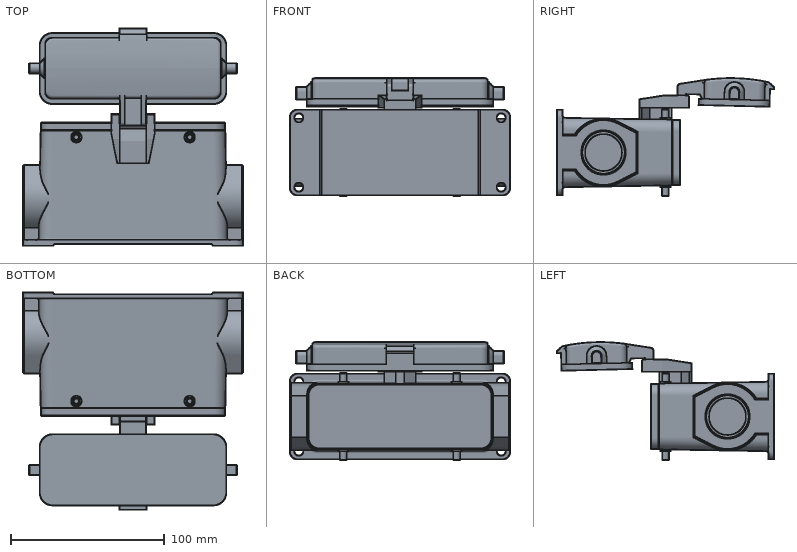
import cadquery as cq
import math


plate_width = 144.0
plate_height = 56.0
plate_thickness = 3.9
plate_corner_radius = 5.0
screw_hole_radius = 2.9
screw_hole_x = 66.1
screw_hole_z = 22.6
relief_depth = 1.2
relief_half_width = 52.4

box_half_width = 61.6
box_half_height = 22.8
box_corner_radius = 7.9
box_end_y = 75.2
box_length = box_end_y - plate_thickness
box_draft = 1.0
box_root_fillet = 1.2

entry_face_x = plate_width / 2
entry_axis_y = 30.5
entry_radius = 22.2
entry_front_y = 53.0
entry_neck_half_height = 12.0
entry_inner_x = 46.1
entry_chamfer = 1.0
bore_radius = 13.8
bore_depth = 14.4
bore_chamfer = 0.7
inner_bore_radius = 12.1
inner_bore_depth = 28.8

peg_x = 37.0
peg_y = 71.0
peg_radius = 2.3
peg_tip_z = 28.7
peg_tip_chamfer = 0.6
peg_collar_radius = 3.5
peg_collar_z = 22.8
peg_root_z = 18.7

rim_end_y = 80.8
rim_half_width = 60.2
rim_half_height = 21.3
rim_corner_radius = 7.0
rim_chamfer = 0.6

rail_outer_x = 14.1
rail_inner_x = 8.8
rail_end_y = 86.4
rail_bend_y = 73.2
rail_top_z = 37.3
rail_bottom_z = 29.1
rail_slope_y = 69.8
rail_end_chamfer = 0.7
wall_y = 54.0
wall_thickness = 1.5
wall_half_width = 10.4
wall_top_z = 34.8
floor_z = 34.0
floor_bend_y = 68.7
floor_end_y = 76.5
floor_end_z = 32.3
hub_half_width = 2.9
hub_flare_y = 60.8
foot_z = 20.2

cover_tilt = 1.4
cover_y = 115.9
flange_half_width = 61.0
flange_depth = 46.5
flange_bottom_z = 30.4
flange_top_z = 34.5
flange_corner_radius = 8.6
cap_half_width = 57.5
cap_front_y = 96.2
cap_back_y = 135.8
cap_corner_radius = 4.6
cap_edge_z = 47.0
cap_crown_z = 48.7
cap_edge_fillet = 2.0

pin_end_x = 68.0
pin_radius = 3.3
pin_axis_z = 39.6
pin_end_chamfer = 0.5
pin_boss_radius = 6.5

tab_half_width = 9.0
tab_tip_y = 141.8
tab_base_y = cover_y + flange_depth / 2
tab_shoulder_y = 138.1
tab_bottom_z = 41.9
tab_tip_z = 43.2
arm_half_width = 8.5
arm_end_y = 78.6
arm_top_z = 43.8
arm_bottom_z = 37.3
arm_end_radius = 2.2
arm_root_y = 94.8
arm_leg_y = 84.2
arm_leg_bottom_z = 31.7
arm_toe_z = 33.1
arm_toe_y = 76.8
arm_pocket_half_width = 5.5
arm_pocket_z = 39.7
joint_fillet = 1.0


def rounded_slab(half_width, half_height, radius, start_y, length):
    """Rounded rectangle in XZ, extruded toward +Y from start_y."""
    return (
        cq.Workplane("XZ", origin=(0, start_y, 0))
        .sketch()
        .rect(2 * half_width, 2 * half_height)
        .vertices()
        .fillet(radius)
        .finalize()
        .extrude(-length)
    )


def across(profile, half_width):
    """Extrude a YZ profile equally to both sides of X = 0."""
    return profile.extrude(half_width, both=True)


def profile_yz(points):
    return cq.Workplane("YZ").polyline(points).close()


def mounting_plate():
    plate = rounded_slab(plate_width / 2, plate_height / 2, plate_corner_radius, 0, plate_thickness)
    relief = (
        cq.Workplane("XY")
        .polyline([
            (-relief_half_width, 0),
            (relief_half_width, 0),
            (relief_half_width - relief_depth, relief_depth),
            (relief_depth - relief_half_width, relief_depth),
        ])
        .close()
        .extrude(plate_height, both=True)
    )
    return plate.cut(relief)


def screw_holes():
    return (
        cq.Workplane("XZ")
        .rect(2 * screw_hole_x, 2 * screw_hole_z, forConstruction=True)
        .vertices()
        .circle(screw_hole_radius)
        .extrude(-plate_thickness)
    )


def tapered_box():
    box = (
        cq.Workplane("XZ", origin=(0, plate_thickness, 0))
        .rect(2 * box_half_width, 2 * box_half_height)
        .extrude(-box_length, taper=box_draft)
    )
    return box.edges("not #Y").fillet(box_corner_radius)


def entry_boss():
    """Boss on the +X end: a round blended by tangents into a narrower flat front, with a neck."""
    front_reach = entry_front_y - entry_axis_y
    tangent_angle = math.radians(27)
    tangent_y = entry_radius * math.sin(tangent_angle)
    tangent_z = entry_radius * math.cos(tangent_angle)
    corner_z = tangent_z - (front_reach - tangent_y) * math.tan(tangent_angle)
    neck_reach = math.sqrt(entry_radius**2 - entry_neck_half_height**2)
    outline = (
        cq.Workplane("YZ", origin=(entry_inner_x, entry_axis_y, 0))
        .moveTo(front_reach, -corner_z)
        .lineTo(front_reach, corner_z)
        .lineTo(tangent_y, tangent_z)
        .threePointArc((0, entry_radius), (-neck_reach, entry_neck_half_height))
        .lineTo(relief_depth - entry_axis_y, entry_neck_half_height)
        .lineTo(relief_depth - entry_axis_y, -entry_neck_half_height)
        .lineTo(-neck_reach, -entry_neck_half_height)
        .threePointArc((0, -entry_radius), (tangent_y, -tangent_z))
        .close()
    )
    return outline.extrude(entry_face_x - entry_inner_x).faces(">X").chamfer(entry_chamfer)


def entry_bore():
    """Stepped blind bore of the +X end, with a chamfered mouth."""
    return (
        cq.Workplane("XY", origin=(entry_face_x, entry_axis_y, 0))
        .polyline([
            (0, 0),
            (0, bore_radius + bore_chamfer),
            (-bore_chamfer, bore_radius),
            (-bore_depth, bore_radius),
            (-bore_depth, inner_bore_radius),
            (-inner_bore_depth, inner_bore_radius),
            (-inner_bore_depth, 0),
        ])
        .close()
        .revolve(360, (0, 0, 0), (1, 0, 0))
    )


def locking_peg(x, side):
    """Collared peg standing on the top (side = 1) or bottom (side = -1) of the box."""
    base = cq.Workplane("XY", origin=(x, peg_y, side * peg_root_z))
    collar = base.circle(peg_collar_radius).extrude(side * (peg_collar_z - peg_root_z))
    stem = base.circle(peg_radius).extrude(side * (peg_tip_z - peg_root_z))
    stem = stem.faces(">Z" if side > 0 else "<Z").chamfer(peg_tip_chamfer)
    return collar.union(stem)


def make_housing():
    body = mounting_plate().union(tapered_box())
    root = cq.selectors.BoxSelector(
        (-box_half_width - 1.5, plate_thickness - 0.1, -box_half_height - 1.5),
        (box_half_width + 1.5, plate_thickness + 0.1, box_half_height + 1.5),
        boundingbox=True,
    )
    body = body.edges(root).fillet(box_root_fillet)
    boss = entry_boss()
    bore = entry_bore()
    body = body.union(boss).union(boss.mirror("YZ"))
    body = body.cut(bore).cut(bore.mirror("YZ")).cut(screw_holes())
    for x in (-peg_x, peg_x):
        for side in (-1, 1):
            body = body.union(locking_peg(x, side))
    return body


def make_rim():
    rim = rounded_slab(
        rim_half_width, rim_half_height, rim_corner_radius, box_end_y, rim_end_y - box_end_y
    )
    return rim.faces("<Y or >Y").chamfer(rim_chamfer)


def bracket_rails():
    """Both rails: straight at the cover end, then tapering and sloping down to the wall."""
    plan = (
        cq.Workplane("XY", origin=(0, 0, rail_bottom_z))
        .polyline([
            (-rail_outer_x, rail_end_y),
            (rail_outer_x, rail_end_y),
            (rail_outer_x, rail_bend_y),
            (wall_half_width, wall_y),
            (-wall_half_width, wall_y),
            (-rail_outer_x, rail_bend_y),
        ])
        .close()
        .extrude(rail_top_z - rail_bottom_z)
    )
    side = across(
        profile_yz([
            (wall_y, rail_bottom_z),
            (rail_end_y, rail_bottom_z),
            (rail_end_y, rail_top_z - rail_end_chamfer),
            (rail_end_y - rail_end_chamfer, rail_top_z),
            (rail_slope_y, rail_top_z),
            (wall_y, wall_top_z),
        ]),
        rail_outer_x,
    )
    return plan.intersect(side)


def bracket_channel():
    """Space between the rails, above the floor."""
    channel = across(
        profile_yz([
            (wall_y, floor_z),
            (floor_bend_y, floor_z),
            (floor_end_y, floor_end_z),
            (floor_end_y, rail_bottom_z),
            (rail_end_y, rail_bottom_z),
            (rail_end_y, rail_top_z),
            (wall_y, rail_top_z),
        ]),
        rail_inner_x,
    )
    return channel


def bracket_foot():
    """Hub that flares out into the front wall, standing on the housing."""
    wall_back_y = wall_y + wall_thickness
    return (
        cq.Workplane("XY", origin=(0, 0, foot_z))
        .polyline([
            (-hub_half_width, box_end_y),
            (hub_half_width, box_end_y),
            (hub_half_width, hub_flare_y),
            (wall_half_width, wall_back_y),
            (wall_half_width, wall_y),
            (-wall_half_width, wall_y),
            (-wall_half_width, wall_back_y),
            (-hub_half_width, hub_flare_y),
        ])
        .close()
        .extrude(rail_bottom_z - foot_z)
    )


def make_bracket(housing):
    return bracket_rails().cut(bracket_channel()).union(bracket_foot()).cut(housing)


def cover_flange():
    return (
        cq.Workplane("XY", origin=(0, cover_y, flange_bottom_z))
        .rect(2 * flange_half_width, flange_depth)
        .extrude(flange_top_z - flange_bottom_z)
        .edges("|Z")
        .fillet(flange_corner_radius)
    )


def crown_arc(edge_y, end_y):
    """Middle and end points of the arc leaving the crown line level and passing through a cap edge."""
    reach = edge_y - cover_y
    drop = cap_crown_z - cap_edge_z
    radius = (reach**2 + drop**2) / (2 * drop)
    end_angle = math.asin((end_y - cover_y) / radius)
    return [
        (cover_y + radius * math.sin(angle), cap_crown_z - radius * (1 - math.cos(angle)))
        for angle in (end_angle / 2, end_angle)
    ]


def cover_cap():
    """Crowned cap: a rounded block whose top falls in two arcs from the line of the latch pins."""
    front_middle, front_end = crown_arc(cap_front_y, cap_front_y)
    back_middle, back_end = crown_arc(cap_back_y, cap_back_y)
    crown = (
        cq.Workplane("YZ")
        .moveTo(cap_front_y, flange_bottom_z)
        .lineTo(*front_end)
        .threePointArc(front_middle, (cover_y, cap_crown_z))
        .threePointArc(back_middle, back_end)
        .lineTo(cap_back_y, flange_bottom_z)
        .close()
    )
    cap = across(crown, cap_half_width).edges("|Z").fillet(cap_corner_radius)
    crown_outline = cq.selectors.BoxSelector(
        (-cap_half_width - 1.5, cap_front_y - 1.5, cap_edge_z - 0.7),
        (cap_half_width + 1.5, cap_back_y + 1.5, cap_crown_z + 0.1),
        boundingbox=True,
    ) - cq.selectors.NearestToPointSelector((0, cover_y, cap_crown_z))
    return cap.edges(crown_outline).fillet(cap_edge_fillet)


def arch(radius, start_x, bottom_z):
    """Round-topped YZ outline centred on the latch pins."""
    return (
        cq.Workplane("YZ", origin=(start_x, cover_y, 0))
        .moveTo(-radius, bottom_z)
        .lineTo(-radius, pin_axis_z)
        .threePointArc((0, pin_axis_z + radius), (radius, pin_axis_z))
        .lineTo(radius, bottom_z)
        .close()
    )


def latch_pin():
    """Pin on the +X end, with a 45-degree boss at its root."""
    boss_length = pin_boss_radius - pin_radius
    boss_start_x = flange_half_width - boss_length
    pin = arch(pin_radius, boss_start_x, flange_top_z).extrude(pin_end_x - boss_start_x)
    pin = pin.faces(">X").chamfer(pin_end_chamfer)
    boss = arch(pin_boss_radius, boss_start_x, flange_top_z - boss_length).extrude(boss_length, taper=45)
    root = arch(pin_boss_radius, cap_half_width - 1.5, flange_top_z).extrude(boss_start_x - cap_half_width + 1.5)
    return pin.union(boss).union(root)


def latch_tab():
    """Hooked tab that carries the crown on past the back edge of the cap."""
    crown_middle, shoulder = crown_arc(cap_back_y, tab_shoulder_y)
    outline = (
        cq.Workplane("YZ")
        .moveTo(cover_y, flange_bottom_z)
        .lineTo(tab_base_y, flange_bottom_z)
        .lineTo(tab_base_y, tab_bottom_z)
        .lineTo(tab_tip_y, tab_bottom_z)
        .lineTo(tab_tip_y, tab_tip_z)
        .lineTo(*shoulder)
        .threePointArc(crown_middle, (cover_y, cap_crown_z))
        .close()
    )
    return across(outline, tab_half_width)


def hinge_arm():
    """Arm with two ribs and an open pocket between them; its leg drops between the bracket rails."""
    crown_middle, crown_end = crown_arc(cap_front_y, cap_front_y)
    outline = (
        cq.Workplane("YZ")
        .moveTo(cover_y, flange_top_z)
        .lineTo(arm_root_y, flange_top_z)
        .lineTo(arm_root_y - 1.5, arm_bottom_z)
        .lineTo(arm_leg_y, arm_bottom_z)
        .lineTo(arm_leg_y, arm_leg_bottom_z)
        .lineTo(arm_toe_y, arm_leg_bottom_z)
        .lineTo(arm_end_y, arm_toe_z)
        .lineTo(arm_end_y, arm_top_z)
        .lineTo(*crown_end)
        .threePointArc(crown_middle, (cover_y, cap_crown_z))
        .close()
    )
    arm = across(outline, arm_half_width)
    top_corner = cq.selectors.NearestToPointSelector((0, arm_end_y, arm_top_z))
    arm = arm.edges(top_corner).fillet(arm_end_radius)
    pocket_length = cover_y - arm_toe_y
    pocket = (
        cq.Workplane("XY", origin=(0, cover_y - pocket_length / 2, arm_pocket_z))
        .rect(2 * arm_pocket_half_width, pocket_length)
        .extrude(cap_crown_z - arm_pocket_z)
    )
    return arm.cut(pocket)


def joint_rounds(half_width, face_y, outward):
    """Concave rounds in both corners where an arm or tab leaves a cap wall toward outward * Y."""
    bulge = joint_fillet * (1 - math.sqrt(0.5))
    inside_y = face_y - outward * cap_edge_fillet
    right = (
        cq.Workplane("XY", origin=(0, 0, flange_top_z))
        .moveTo(half_width - joint_fillet, inside_y)
        .lineTo(half_width + joint_fillet, inside_y)
        .lineTo(half_width + joint_fillet, face_y)
        .threePointArc(
            (half_width + bulge, face_y + outward * bulge),
            (half_width, face_y + outward * joint_fillet),
        )
        .lineTo(half_width - joint_fillet, face_y + outward * joint_fillet)
        .close()
        .extrude(cap_edge_z - cap_edge_fillet - flange_top_z)
    )
    return right.union(right.mirror("YZ"))


def make_cover():
    pin = latch_pin()
    cover = cover_flange().union(cover_cap()).union(latch_tab()).union(pin).union(pin.mirror("YZ"))
    cover = cover.union(hinge_arm())
    cover = cover.union(joint_rounds(arm_half_width, cap_front_y, -1))
    cover = cover.union(joint_rounds(tab_half_width, cap_back_y, 1))
    return cover.rotate((0, cover_y, flange_top_z), (1, cover_y, flange_top_z), -cover_tilt)


housing = make_housing()
rim = make_rim()
bracket = make_bracket(housing)
cover = make_cover()

result = cq.Compound.makeCompound([housing.val(), rim.val(), bracket.val(), cover.val()])